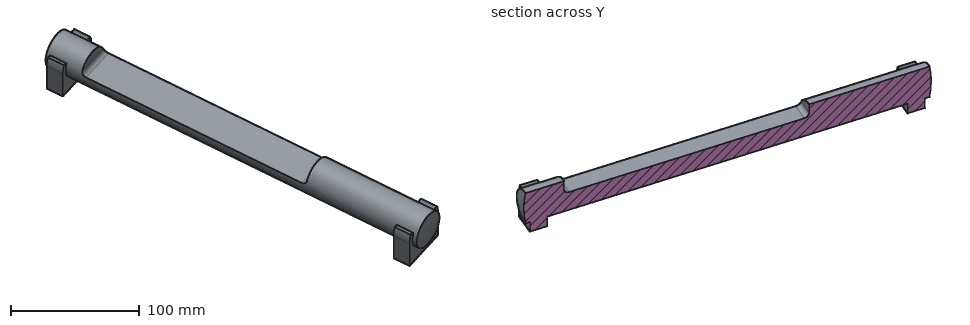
import cadquery as cq
import math

bar_diameter = 32.0
bar_radius = bar_diameter / 2
overall_length = 351.0
dome_height = 1.5
bar_length = overall_length - 2 * dome_height

notch_length = 210.6
notch_end_margin = 33.5
notch_floor_z = 3.0
notch_fillet = 4.0

saddle_thickness = 15.0
saddle_end_margin = 4.0
saddle_radius = 20.0
saddle_base_z = -26.0
saddle_tip_z = 8.0
saddle_lip_radius = 1.5
edge_tolerance = 0.1


def make_bar():
    """Bar with shallow spherical ends, revolved about the X axis."""
    half_length = bar_length / 2
    half_overall = overall_length / 2
    dome_radius = (bar_radius**2 + dome_height**2) / (2 * dome_height)
    half_angle = math.asin(bar_radius / dome_radius) / 2
    mid_x = half_overall - dome_radius * (1 - math.cos(half_angle))
    mid_z = dome_radius * math.sin(half_angle)
    profile = (
        cq.Workplane("XZ")
        .moveTo(-half_overall, 0)
        .threePointArc((-mid_x, mid_z), (-half_length, bar_radius))
        .lineTo(half_length, bar_radius)
        .threePointArc((mid_x, mid_z), (half_overall, 0))
        .close()
    )
    return profile.revolve(360, (0, 0, 0), (1, 0, 0))


def make_notch_cutter():
    """Block that cuts the notch, with its two lower cross edges rounded."""
    start_x = -bar_length / 2 + notch_end_margin
    cutter = cq.Workplane("XY").box(
        notch_length, bar_diameter, bar_diameter, centered=(False, True, False)
    )
    cutter = cutter.edges("|Y and <Z").fillet(notch_fillet)
    return cutter.translate((start_x, 0, notch_floor_z))


def make_saddle(center_x):
    """Upright plate whose arms curve in around the sides of the bar."""
    tip_y = math.sqrt(saddle_radius**2 - saddle_tip_z**2)
    mid_angle = math.asin(saddle_tip_z / saddle_radius) / 2
    mid_y = saddle_radius * math.cos(mid_angle)
    mid_z = saddle_radius * math.sin(mid_angle)
    profile = (
        cq.Workplane("YZ")
        .moveTo(-saddle_radius, saddle_base_z)
        .lineTo(saddle_radius, saddle_base_z)
        .lineTo(saddle_radius, 0)
        .threePointArc((mid_y, mid_z), (tip_y, saddle_tip_z))
        .lineTo(-tip_y, saddle_tip_z)
        .threePointArc((-mid_y, mid_z), (-saddle_radius, 0))
        .close()
    )
    plate = profile.extrude(saddle_thickness / 2, both=True)
    bore = cq.Workplane("YZ").circle(bar_radius).extrude(saddle_thickness, both=True)
    cradle = plate.cut(bore)
    lip_y = math.sqrt(bar_radius**2 - saddle_tip_z**2)
    inner_edges = cq.selectors.BoxSelector(
        (-saddle_thickness, -lip_y - edge_tolerance, saddle_tip_z - edge_tolerance),
        (saddle_thickness, lip_y + edge_tolerance, saddle_tip_z + edge_tolerance),
    )
    cradle = cradle.edges("|X").edges(inner_edges).fillet(saddle_lip_radius)
    return cradle.translate((center_x, 0, 0))


saddle_offset = bar_length / 2 - saddle_end_margin - saddle_thickness / 2
result = make_bar().cut(make_notch_cutter())
for side in (-1, 1):
    result = result.union(make_saddle(side * saddle_offset))